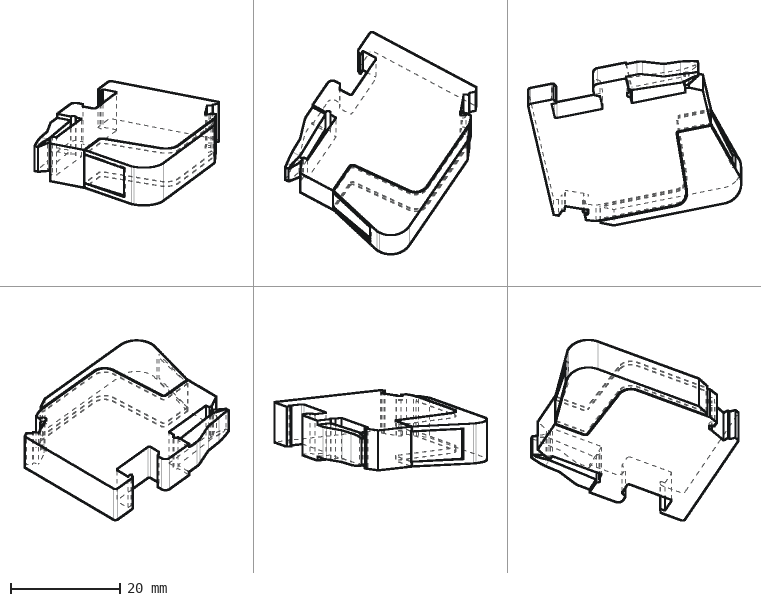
import cadquery as cq
import math


length = 35.05
width = 28.2
thickness = 7.5

jaw_left = 1.25
jaw_lip_right = 2.15
jaw_lip_bottom = 29.85
jaw_bevel_top = 30.55
jaw_bevel_corner = (1.35, 30.2)
jaw_bevel_right = 1.95
jaw_corner_radius = 0.53
rail_wall = 5.05
rail_top = 30.75
rail_bottom = 21.73
rail_corner_radius = 0.35
foot_top = 22.75
foot_lip_right = 2.05
foot_ramp_right = 2.55
foot_corner_radius = 1.05
slot_top = 16.35
slot_bottom = 6.2
relief_center_x = 3.33
relief_radius = 0.5
catch_left = 4.25
catch_ramp_top = 5.45
catch_ramp_right = 5.35
base_y = 3.05

notch_top_right = 23.8
nose_tip = (24.2, 34.17)
notch_tooth_root = (23.38, 33.4)
notch_tooth = (23.5, 32.98)
notch_corner = (22.6, 32.55)
shoulder_left = 23.87
shoulder_right = 26.08
shoulder_y = 29.48
shoulder_ramp_bottom = 27.75
pin_center = (24.5, 29.2)
pin_radius = 0.55

wall = 0.9
gap = 0.15
body_right = 26.67
step_left = 12.37
step_left_y = 9.57
step_right_y = 10.45
step_inner_radius = 0.7
step_outer_radius = 2.45
cover_top = 26.95
cover_top_right = 27.2
cover_ramp_bottom = 24.68
cover_corner_radius = 4.03
cover_flat_left = 23.7
cover_slope_left = 12.65

pocket_right = 21.9
pocket_left_y = 3.15
pocket_right_y = 1.05

arm_thickness = 5.95
arm_bend_y = 13.7
arm_bend_radius = 3.05
arm_knee = (1.45, 9.55)
arm_outer_knee_x = 1.6
arm_inner_top = 2.8
arm_inner_knee = (3.3, 6.45)
arm_taper_end = 4.03
tip_y = 3.3
tip_left = 2.05
tip_right = 2.77
hook_right = 4.0
taper_radius = 11.9
tip_thickness = 4.9


def prism(outline, depth):
    """Extrude a closed wire in the XY plane evenly to both sides of Z = 0."""
    return outline.extrude(depth).translate((0, 0, -depth / 2))


def round_corner(solid, x, y, radius):
    """Round the upright edge standing at (x, y)."""
    edge = cq.selectors.NearestToPointSelector((x, y, 0))
    return solid.edges("|Z").edges(edge).fillet(radius)


def make_body():
    """Full-thickness housing with its rail recess and wire notch, cover included."""
    outline = cq.Workplane("XY").polyline([
        (jaw_left, length),
        (jaw_left, jaw_bevel_top),
        jaw_bevel_corner,
        (jaw_bevel_right, jaw_lip_bottom),
        (jaw_lip_right, jaw_lip_bottom),
        (jaw_lip_right, rail_top),
        (rail_wall, rail_top),
        (rail_wall, rail_bottom),
        (foot_ramp_right, rail_bottom),
        (foot_lip_right, foot_top),
        (0, foot_top),
        (0, slot_top),
        (rail_wall, slot_top),
        (rail_wall, slot_bottom),
        (catch_left, slot_bottom),
        (catch_left, catch_ramp_top),
        (catch_ramp_right, base_y),
        (cover_slope_left, base_y),
        (cover_flat_left, 0),
        (width, 0),
        (width, cover_ramp_bottom),
        (cover_top_right, cover_top),
        (body_right, cover_top),
        (body_right, shoulder_ramp_bottom),
        (shoulder_right, shoulder_y),
        (shoulder_left, shoulder_y),
        notch_corner,
        notch_tooth,
        notch_tooth_root,
        nose_tip,
        (notch_top_right, length),
    ]).close()
    body = prism(outline, thickness)
    body = round_corner(body, jaw_left, length, jaw_corner_radius)
    body = round_corner(body, rail_wall, rail_top, rail_corner_radius)
    body = round_corner(body, rail_wall, rail_bottom, rail_corner_radius)
    body = round_corner(body, 0, foot_top, foot_corner_radius)
    body = round_corner(body, width, 0, cover_corner_radius)
    relief = cq.Workplane("XY").center(relief_center_x, slot_top).circle(relief_radius)
    return body.cut(prism(relief, thickness))


def stepped_region(offset):
    """Area right of and below the housing step, moved outward by offset."""
    slope = (step_right_y - step_left_y) / (body_right - step_left)
    left = step_left + offset
    right = body_right + offset
    drop = offset * math.hypot(1, slope)
    left_y = step_left_y + slope * offset - drop
    right_y = step_right_y + slope * offset - drop
    outline = cq.Workplane("XY").polyline([
        (left, 0),
        (left, left_y),
        (right, right_y),
        (right, length),
        (width, length),
        (width, 0),
    ]).close()
    region = prism(outline, thickness)
    region = round_corner(region, left, left_y, step_inner_radius - offset)
    return round_corner(region, right, right_y, step_outer_radius + offset)


def make_cover_gap():
    """Thin groove between housing and cover, one cover wall deep from each flat side."""
    groove = stepped_region(0).cut(stepped_region(gap))
    core = cq.Workplane("XY").box(2 * width, 2 * length, thickness - 2 * wall)
    return groove.cut(core)


def make_pocket():
    """Window pocket between the cover walls, deepening along the sloped cover face."""
    outline = cq.Workplane("XY").polyline([
        (step_left, pocket_left_y),
        (pocket_right, pocket_right_y),
        (pocket_right, 0),
        (step_left, 0),
    ]).close()
    return prism(outline, thickness - 2 * wall)


def make_pin(height):
    """Hinge pin cylinder at the foot of the wire notch."""
    return prism(cq.Workplane("XY").center(*pin_center).circle(pin_radius), height)


def make_arm():
    """Springy latch arm whose flat sides curve in towards the tip."""
    outline = cq.Workplane("XY").polyline([
        (0, slot_top),
        (0, arm_bend_y),
        arm_knee,
        (arm_outer_knee_x, arm_inner_knee[1]),
        (tip_left, tip_y),
        (tip_right, tip_y),
        (tip_right, arm_taper_end),
        arm_inner_knee,
        (arm_inner_top, slot_top),
    ]).close()
    arm = prism(outline, arm_thickness)
    arm = round_corner(arm, 0, arm_bend_y, arm_bend_radius)
    half = arm_thickness / 2
    taper_start = arm_inner_knee[1]
    taper_run = taper_start - arm_taper_end
    middle_run = taper_run / 2

    def arc_z(run):
        return half - taper_radius + math.sqrt(taper_radius**2 - run**2)

    profile = (
        cq.Workplane("YZ")
        .moveTo(slot_top, half)
        .lineTo(taper_start, half)
        .threePointArc((taper_start - middle_run, arc_z(middle_run)), (arm_taper_end, arc_z(taper_run)))
        .lineTo(tip_y, tip_thickness / 2)
        .lineTo(tip_y, 0)
        .lineTo(slot_top, 0)
        .close()
        .extrude(width, both=True)
    )
    profile = profile.union(profile.mirror("XY"))
    return arm.intersect(profile)


def make_hook():
    """Barb on the inner side of the arm tip, tapering straight to the tip."""
    knee_x, knee_y = arm_inner_knee
    rise = (slot_bottom - arm_taper_end) / (knee_y - arm_taper_end)
    top_left = tip_right + rise * (knee_x - tip_right)
    outline = cq.Workplane("XY").polyline([
        (tip_right, tip_y),
        (hook_right, catch_ramp_top),
        (hook_right, slot_bottom),
        (top_left, slot_bottom),
        (tip_right, arm_taper_end),
    ]).close()
    half = arm_thickness / 2
    profile = cq.Workplane("YZ").polyline([
        (slot_bottom, half),
        (tip_y, tip_thickness / 2),
        (tip_y, -tip_thickness / 2),
        (slot_bottom, -half),
    ]).close().extrude(width, both=True)
    return prism(outline, arm_thickness).intersect(profile)


result = (
    make_body()
    .cut(make_cover_gap())
    .cut(make_pocket())
    .cut(make_pin(thickness))
    .union(make_pin(thickness - 2 * wall))
    .union(make_arm())
    .union(make_hook())
)